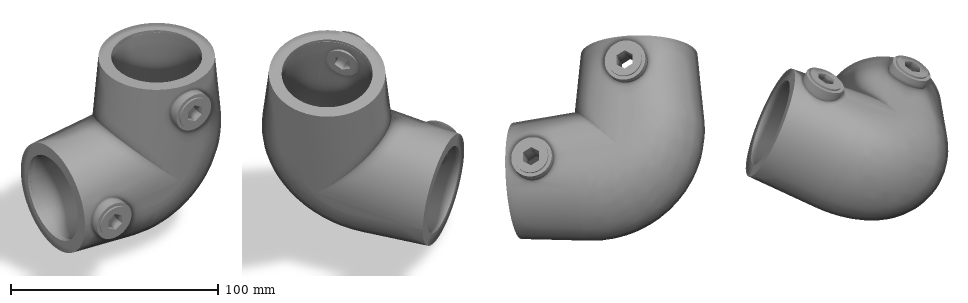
import cadquery as cq
import math

MOUTH_REACH = 60.1
OUTER_RADIUS = 28.0
CAVITY_RADIUS = 21.8
MOUTH_BORE_RADIUS = 22.0
MOUTH_BORE_DEPTH = 1.5
BEND_RADIUS = 25.0
BEND_OFFSET = 21.2
INNER_CORNER = 5.5
OVERRUN = 3.7

SCREW_FROM_MOUTH = 14.0
BOSS_RADIUS = 10.0
BOSS_FACE_X = 32.45
SCREW_RADIUS = 8.3
SCREW_INNER_X = 20.5
SCREW_OUTER_X = 33.5
HEX_FLATS = 8.0

SCREW_REACH = MOUTH_REACH - SCREW_FROM_MOUTH
SCREW_CENTRES = [(0, SCREW_REACH), (-SCREW_REACH, 0)]

BEND_DROP = MOUTH_REACH - BEND_OFFSET
TILT = math.asin(BEND_RADIUS / math.hypot(BEND_OFFSET, BEND_DROP)) - math.atan2(BEND_OFFSET, BEND_DROP)


def mirrored(point):
    """Reflect a (Y, Z) point across the elbow's diagonal, swapping the two arms."""
    y, z = point
    return (-z, -y)


def bend_point(angle):
    """Point on the bend centre line, measured from +Y toward +Z."""
    return (
        -BEND_OFFSET + BEND_RADIUS * math.cos(angle),
        BEND_OFFSET + BEND_RADIUS * math.sin(angle),
    )


def extended(start, end):
    """Move end further from start by the overrun."""
    length = math.dist(start, end)
    return tuple(e + OVERRUN * (e - s) / length for s, e in zip(start, end))


MOUTH = (0, MOUTH_REACH)
BEND_START = bend_point(TILT)
BEND_MIDDLE = bend_point(-math.pi / 4)
CORNER = (-INNER_CORNER, INNER_CORNER)


def half_pipe(path, start, toward, radius, inner_side):
    """Half-round bar swept along a path in the YZ plane, on one side of the path."""
    direction = (0, toward[0] - start[0], toward[1] - start[1])
    plane = cq.Plane(origin=(0, *start), xDir=(1, 0, 0), normal=direction)
    bulge = radius if inner_side else -radius
    half_disc = (
        cq.Workplane(plane).moveTo(-radius, 0)
        .threePointArc((0, bulge), (radius, 0)).close()
    )
    return half_disc.sweep(path, transition="right")


def elbow_form(radius):
    """Outer and inner half pipes, joined by a flat-sided web and trimmed at the mouths."""
    outer_start = extended(BEND_START, MOUTH)
    outer_path = (
        cq.Workplane("YZ").moveTo(*outer_start).lineTo(*BEND_START)
        .threePointArc(BEND_MIDDLE, mirrored(BEND_START))
        .lineTo(*mirrored(outer_start))
    )
    inner_start = extended(CORNER, MOUTH)
    inner_path = (
        cq.Workplane("YZ").moveTo(*inner_start).lineTo(*CORNER)
        .lineTo(*mirrored(inner_start))
    )
    web = (
        cq.Workplane("YZ").moveTo(*MOUTH).lineTo(*BEND_START)
        .threePointArc(BEND_MIDDLE, mirrored(BEND_START))
        .lineTo(*mirrored(MOUTH)).lineTo(*CORNER).close()
        .extrude(radius, both=True)
    )
    trim_side = 2 * MOUTH_REACH
    trim = cq.Workplane("XY").box(trim_side, trim_side, trim_side)
    outer_half = half_pipe(outer_path, outer_start, BEND_START, radius, inner_side=False)
    inner_half = half_pipe(inner_path, inner_start, CORNER, radius, inner_side=True)
    return outer_half.union(web).union(inner_half).intersect(trim)


def bar_along_x(centre, radius, start_x, end_x):
    return (
        cq.Workplane("YZ", origin=(start_x, *centre))
        .circle(radius).extrude(end_x - start_x)
    )


def mouth_bores():
    """Shallow round bores that true up the two mouths."""
    upper = (
        cq.Workplane("XY", origin=(0, 0, MOUTH_REACH))
        .circle(MOUTH_BORE_RADIUS).extrude(-MOUTH_BORE_DEPTH)
    )
    front = (
        cq.Workplane("XZ", origin=(0, -MOUTH_REACH, 0))
        .circle(MOUTH_BORE_RADIUS).extrude(-MOUTH_BORE_DEPTH)
    )
    return upper.union(front)


def make_housing():
    housing = elbow_form(OUTER_RADIUS)
    for centre in SCREW_CENTRES:
        housing = housing.union(bar_along_x(centre, BOSS_RADIUS, CAVITY_RADIUS, BOSS_FACE_X))
    housing = housing.cut(elbow_form(CAVITY_RADIUS)).cut(mouth_bores())
    for centre in SCREW_CENTRES:
        housing = housing.cut(bar_along_x(centre, SCREW_RADIUS, 0, SCREW_OUTER_X))
    return housing


def make_screw(centre):
    """Set screw with a hexagonal socket right through, two corners along Z."""
    hex_corners = HEX_FLATS / math.cos(math.pi / 6)
    socket = (
        cq.Workplane("YZ", origin=(SCREW_INNER_X, *centre))
        .transformed(rotate=(0, 0, 90))
        .polygon(6, hex_corners).extrude(SCREW_OUTER_X - SCREW_INNER_X)
    )
    return bar_along_x(centre, SCREW_RADIUS, SCREW_INNER_X, SCREW_OUTER_X).cut(socket)


housing = make_housing()
screws = [make_screw(centre) for centre in SCREW_CENTRES]
result = cq.Compound.makeCompound([housing.solids().val(), *[screw.solids().val() for screw in screws]])